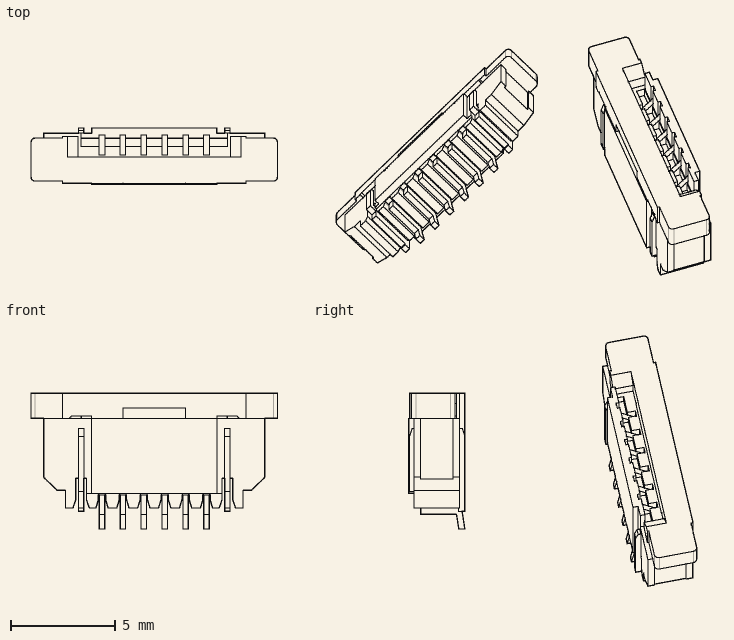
import cadquery as cq

TOTAL_DEPTH = 2.7
TOTAL_HEIGHT = 6.5

BODY_HALF_WIDTH = 5.3
BODY_FRONT = 0.25
BODY_BACK = TOTAL_DEPTH - BODY_FRONT
BODY_TOP = 5.3
FOOT_BOTTOM = 1.0
FOOT_HALF_WIDTH = 4.25
SHOULDER_HEIGHT = 1.85
SHOULDER_HALF_WIDTH = 4.65
BODY_SIDE_BOTTOM = 2.48
SIDE_RECESS = 0.08
SIDE_RECESS_FRONT = 0.58
SIDE_RECESS_BACK = 2.12

PANEL_HALF_WIDTH = 3.0
PANEL_BOTTOM = 1.71
GUIDE_HALF_WIDTH = 3.5
GUIDE_FRONT = 2.22

SLIDER_HALF_WIDTH = 5.9
SLIDER_FRONT = 0.15
SLIDER_BACK = 2.22
SLIDER_RADIUS = 0.2
SLIDER_MIDDLE_HALF_WIDTH = 4.4
SLIDER_MIDDLE_FRONT = 0.05
SLIDER_MIDDLE_BACK = 2.29
OPENING_FRONT = 1.31
OPENING_TOP_HALF_WIDTH = 4.15
OPENING_BOTTOM_HALF_WIDTH = 3.65
OPENING_BEVEL_HEIGHT = 0.5
WINDOW_HALF_WIDTH = 1.5
WINDOW_TOP = 5.8
WINDOW_DEPTH = 0.47
RELIEF_INNER = 3.0
RELIEF_OUTER = 4.06
RELIEF_HEIGHT = 0.1

CABLE_SLOT_FRONT = 1.8
CABLE_SLOT_BACK = 2.19
CABLE_SLOT_FLOOR = 4.8

PIN_COUNT = 6
PIN_PITCH = 1.0
BLADE_WIDTH = 0.27
PIN_FRONT = 0.58
PIN_BOTTOM = 0.7
TAIL_INNER_TOP = 2.29
TAIL_INNER_TIP = 2.4
PIN_NOTCH_TOP = 1.63
NOTCH_HALF_WIDTH = 0.17
NOTCH_MOUTH_HALF_WIDTH = 0.29
FLARE_START = 1.4
CONTACT_FRONT = 1.41
CONTACT_BACK = 2.35
CONTACT_FRONT_HEIGHT = 4.65
CONTACT_BACK_HEIGHT = 5.6
TOOTH_ROW_HALF_WIDTH = 3.25
TOOTH_RECESS = 0.1

CLIP_X = 3.5
CLIP_TOP = 4.8
CLIP_FRONT = 0.05
CLIP_FRONT_BOTTOM = 1.8
CLIP_WEB_FRONT = 0.43
CLIP_BACK_LEG_FRONT = 2.4
CLIP_BACK_LEG_BOTTOM = 0.84
CLIP_CHAMFER_DEPTH = 0.12
CLIP_CHAMFER_HEIGHT = 0.36
CLIP_SLOT_TOP = 2.42
CLIP_SLOT_HALF_WIDTH = 0.25
CLIP_SLOT_MOUTH_HALF_WIDTH = 0.39

PIN_POSITIONS = [(i - (PIN_COUNT - 1) / 2) * PIN_PITCH for i in range(PIN_COUNT)]
CLIP_POSITIONS = [-CLIP_X, CLIP_X]


def block(x_min, x_max, y_min, y_max, z_min, z_max):
    """Box given by its limits along each axis."""
    size = (x_max - x_min, y_max - y_min, z_max - z_min)
    return cq.Workplane("XY").box(*size, centered=False).translate((x_min, y_min, z_min))


def front_profile(points, y_min, y_max):
    """Prism with an (x, z) outline, running along Y."""
    prism = cq.Workplane("XZ").polyline(points).close().extrude(y_min - y_max)
    return prism.translate((0, y_min, 0))


def blade(points, x):
    """Sheet-metal blade with a (y, z) outline, centred on x."""
    sheet = cq.Workplane("YZ").polyline(points).close().extrude(BLADE_WIDTH)
    return sheet.translate((x - BLADE_WIDTH / 2, 0, 0))


def body_prism(side_inset, y_min, y_max):
    """Body outline with its sides and shoulder bevels moved inward by side_inset."""
    half_width = BODY_HALF_WIDTH - side_inset
    bevel_slope = (BODY_SIDE_BOTTOM - SHOULDER_HEIGHT) / (BODY_HALF_WIDTH - SHOULDER_HALF_WIDTH)
    side_bottom = BODY_SIDE_BOTTOM - side_inset * bevel_slope
    right_side = [
        (FOOT_HALF_WIDTH, FOOT_BOTTOM),
        (FOOT_HALF_WIDTH, SHOULDER_HEIGHT),
        (SHOULDER_HALF_WIDTH, SHOULDER_HEIGHT),
        (half_width, side_bottom),
        (half_width, BODY_TOP),
    ]
    left_side = [(-x, z) for x, z in reversed(right_side)]
    return front_profile(right_side + left_side, y_min, y_max)


def flared_notch(x, half_width, mouth_half_width, top):
    """Slot up from the foot, right through the body, flaring at its mouth."""
    points = [
        (x - mouth_half_width, FOOT_BOTTOM),
        (x - half_width, FLARE_START),
        (x - half_width, top),
        (x + half_width, top),
        (x + half_width, FLARE_START),
        (x + mouth_half_width, FOOT_BOTTOM),
    ]
    return front_profile(points, BODY_FRONT, BODY_BACK)


def make_body():
    body = body_prism(0, BODY_FRONT, SIDE_RECESS_FRONT)
    body = body.union(body_prism(SIDE_RECESS, SIDE_RECESS_FRONT, SIDE_RECESS_BACK))
    body = body.union(body_prism(0, SIDE_RECESS_BACK, BODY_BACK))
    body = body.cut(block(-TOOTH_ROW_HALF_WIDTH, TOOTH_ROW_HALF_WIDTH,
                          BODY_FRONT, BODY_FRONT + TOOTH_RECESS, FOOT_BOTTOM, PANEL_BOTTOM))
    for x in PIN_POSITIONS:
        body = body.cut(flared_notch(x, NOTCH_HALF_WIDTH, NOTCH_MOUTH_HALF_WIDTH, PIN_NOTCH_TOP))
    for x in CLIP_POSITIONS:
        body = body.cut(flared_notch(x, CLIP_SLOT_HALF_WIDTH, CLIP_SLOT_MOUTH_HALF_WIDTH, CLIP_SLOT_TOP))
    return body


def add_panels_and_guide(body):
    front_panel = block(-PANEL_HALF_WIDTH, PANEL_HALF_WIDTH, 0, BODY_FRONT, PANEL_BOTTOM, BODY_TOP)
    back_panel = block(-PANEL_HALF_WIDTH, PANEL_HALF_WIDTH, BODY_BACK, TOTAL_DEPTH,
                       PANEL_BOTTOM, TOTAL_HEIGHT)
    guide = block(-GUIDE_HALF_WIDTH, GUIDE_HALF_WIDTH, GUIDE_FRONT, BODY_BACK, BODY_TOP, TOTAL_HEIGHT)
    return body.union(front_panel).union(back_panel).union(guide)


def cut_cable_slot(body):
    body = body.cut(block(-GUIDE_HALF_WIDTH, GUIDE_HALF_WIDTH, CABLE_SLOT_FRONT, CABLE_SLOT_BACK,
                          CABLE_SLOT_FLOOR, BODY_TOP))
    for x in PIN_POSITIONS:
        body = body.cut(block(x - BLADE_WIDTH / 2, x + BLADE_WIDTH / 2, CONTACT_FRONT, CONTACT_BACK,
                              CONTACT_FRONT_HEIGHT, TOTAL_HEIGHT))
    return body


def make_slider():
    slider = block(-SLIDER_HALF_WIDTH, SLIDER_HALF_WIDTH, SLIDER_FRONT, SLIDER_BACK,
                   BODY_TOP, TOTAL_HEIGHT)
    slider = slider.edges("|Z").fillet(SLIDER_RADIUS)
    slider = slider.union(block(-SLIDER_MIDDLE_HALF_WIDTH, SLIDER_MIDDLE_HALF_WIDTH,
                                SLIDER_MIDDLE_FRONT, SLIDER_MIDDLE_BACK, BODY_TOP, TOTAL_HEIGHT))
    bevel_bottom = TOTAL_HEIGHT - OPENING_BEVEL_HEIGHT
    opening_outline = [
        (-OPENING_BOTTOM_HALF_WIDTH, BODY_TOP),
        (-OPENING_BOTTOM_HALF_WIDTH, bevel_bottom),
        (-OPENING_TOP_HALF_WIDTH, TOTAL_HEIGHT),
        (OPENING_TOP_HALF_WIDTH, TOTAL_HEIGHT),
        (OPENING_BOTTOM_HALF_WIDTH, bevel_bottom),
        (OPENING_BOTTOM_HALF_WIDTH, BODY_TOP),
    ]
    slider = slider.cut(front_profile(opening_outline, OPENING_FRONT, SLIDER_MIDDLE_BACK))
    slider = slider.cut(block(-WINDOW_HALF_WIDTH, WINDOW_HALF_WIDTH, SLIDER_MIDDLE_FRONT,
                              SLIDER_MIDDLE_FRONT + WINDOW_DEPTH, BODY_TOP, WINDOW_TOP))
    for side in (-1, 1):
        relief_outline = [
            (side * RELIEF_INNER, BODY_TOP),
            (side * RELIEF_INNER, BODY_TOP + RELIEF_HEIGHT),
            (side * (RELIEF_OUTER - RELIEF_HEIGHT), BODY_TOP + RELIEF_HEIGHT),
            (side * RELIEF_OUTER, BODY_TOP),
        ]
        slider = slider.cut(front_profile(relief_outline, SLIDER_MIDDLE_FRONT, SLIDER_MIDDLE_BACK))
    return slider


def make_pin(x):
    """Solder pin under the body, with its slanted tail at the back."""
    outline = [
        (PIN_FRONT, PIN_BOTTOM),
        (TAIL_INNER_TOP, PIN_BOTTOM),
        (TAIL_INNER_TIP, 0),
        (TOTAL_DEPTH, 0),
        (BODY_BACK, PIN_NOTCH_TOP),
        (PIN_FRONT, PIN_NOTCH_TOP),
    ]
    return blade(outline, x)


def make_contact(x):
    """Contact end in the cable slot, with a sloped top."""
    outline = [
        (CONTACT_FRONT, CONTACT_FRONT_HEIGHT),
        (CONTACT_BACK, CONTACT_BACK_HEIGHT),
        (CONTACT_BACK, CONTACT_FRONT_HEIGHT),
    ]
    return blade(outline, x)


def make_clip(x):
    """Retention clip through the body, proud of its front and back faces."""
    chamfer_start = CLIP_TOP - CLIP_CHAMFER_HEIGHT
    outline = [
        (CLIP_FRONT, CLIP_FRONT_BOTTOM),
        (CLIP_FRONT, chamfer_start),
        (CLIP_FRONT + CLIP_CHAMFER_DEPTH, CLIP_TOP),
        (TOTAL_DEPTH - CLIP_CHAMFER_DEPTH, CLIP_TOP),
        (TOTAL_DEPTH, chamfer_start),
        (TOTAL_DEPTH, CLIP_BACK_LEG_BOTTOM),
        (CLIP_BACK_LEG_FRONT, CLIP_BACK_LEG_BOTTOM),
        (CLIP_BACK_LEG_FRONT, FOOT_BOTTOM),
        (CLIP_WEB_FRONT, FOOT_BOTTOM),
        (CLIP_WEB_FRONT, CLIP_FRONT_BOTTOM),
    ]
    return blade(outline, x)


connector = cut_cable_slot(add_panels_and_guide(make_body()))
connector = connector.union(make_slider())
for pin_x in PIN_POSITIONS:
    connector = connector.union(make_pin(pin_x)).union(make_contact(pin_x))
for clip_x in CLIP_POSITIONS:
    connector = connector.union(make_clip(clip_x))

result = connector